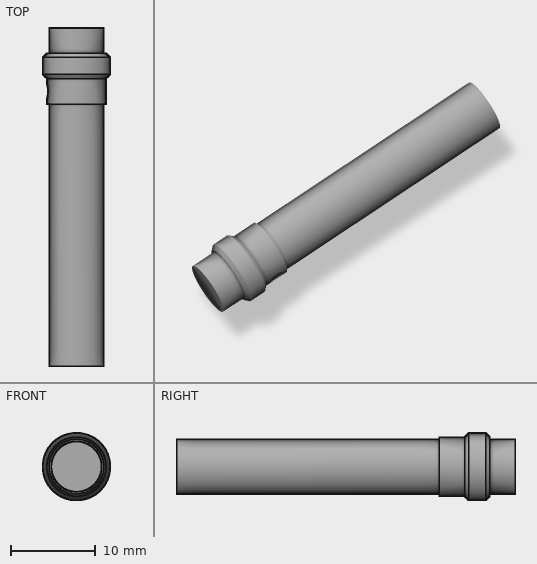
import cadquery as cq

length = 40.0
barrel_diameter = 6.5

collar_diameter = 8.0
sleeve_diameter = 7.0
sleeve_length = 3.0
collar_length = 3.0
rear_length = 3.0
collar_chamfer = (collar_diameter - sleeve_diameter) / 2

end_disc_diameter = 5.9
groove_outer_diameter = 6.0
groove_depth = 0.2

window_diameter = 1.8
window_depth = 0.1

collar_back = length - rear_length
collar_front = collar_back - collar_length
sleeve_front = collar_front - sleeve_length
sleeve_middle = (sleeve_front + collar_front) / 2


def rod(diameter, start, end):
    """Solid cylinder on the Y axis between two Y positions."""
    plane = cq.Plane(origin=(0, start, 0), xDir=(1, 0, 0), normal=(0, 1, 0))
    return cq.Workplane(plane).circle(diameter / 2).extrude(end - start)


def side_window():
    """Cutter for the recess, limited to the outer skin of the sleeve."""
    plug = (
        cq.Workplane("YZ")
        .center(sleeve_middle, 0)
        .circle(window_diameter / 2)
        .extrude(-collar_diameter / 2)
    )
    return plug.cut(rod(sleeve_diameter - 2 * window_depth, sleeve_front, collar_front))


barrel = rod(barrel_diameter, 0, length)
sleeve = rod(sleeve_diameter, sleeve_front, collar_front)
collar = rod(collar_diameter, collar_front, collar_back).edges("%CIRCLE").chamfer(collar_chamfer)
face_groove = rod(groove_outer_diameter, 0, groove_depth).cut(rod(end_disc_diameter, 0, groove_depth))

result = barrel.union(sleeve).union(collar).cut(face_groove).cut(side_window())